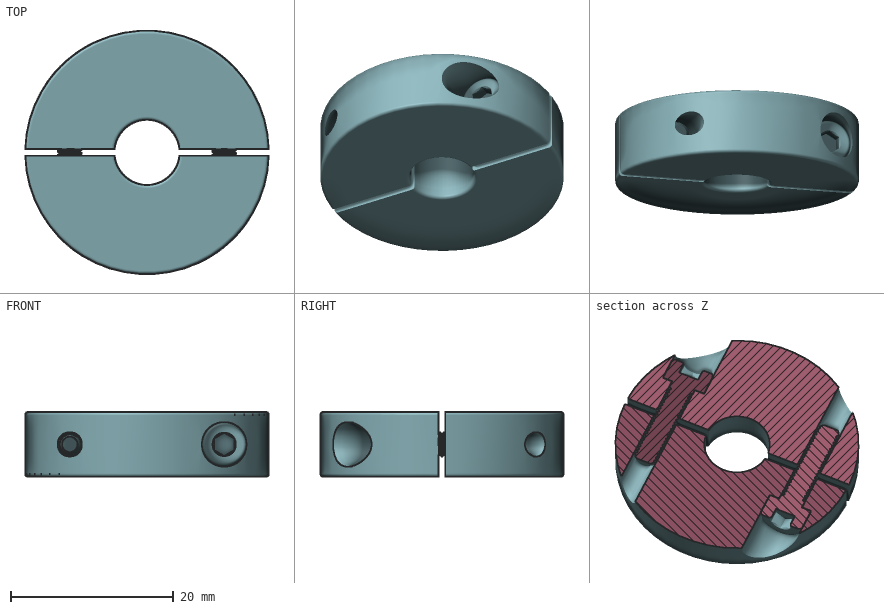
import cadquery as cq
import math


outer_diameter = 30.0
bore_diameter = 8.0
width = 8.0
split_gap = 0.8
rim_radius = 0.4

screw_offset = 9.5
thread_diameter = 3.0
thread_pitch = 0.5
screw_length = 12.0
tip_diameter = 1.9
tip_trim = 0.75
head_diameter = 5.5
head_height = 3.0
head_edge_radius = 0.4
socket_flats = 2.5
socket_depth = 1.5
seat_distance = 5.0

thread_slope = math.tan(math.radians(30))
full_thread_height = thread_pitch / 2 / thread_slope
groove_depth = full_thread_height * 5 / 8
root_width = thread_pitch / 4
thread_runout = 1.25 * thread_pitch
groove_overshoot = 0.04

half_turns = (0, 180)


def turned(body, angle):
    """Turn a body about the bore axis."""
    return body.rotate((0, 0, 0), (0, 0, 1), angle)


def cylinder_along_y(diameter, x, y_start, y_end):
    """Cylinder from y_start to y_end, with y_end the larger."""
    return (
        cq.Workplane("XZ", origin=(x, y_end, 0))
        .circle(diameter / 2)
        .extrude(y_end - y_start)
    )


def make_half_collar():
    """Half ring on the -Y side: counterbored hole at +X, plain screw hole at -X."""
    outer_radius = outer_diameter / 2
    ring = (
        cq.Workplane("XY")
        .circle(outer_radius)
        .circle(bore_diameter / 2)
        .extrude(width / 2, both=True)
        .faces("|Z")
        .edges()
        .fillet(rim_radius)
    )
    half_space = cq.Workplane("XY").box(
        outer_diameter, outer_radius, width, centered=(True, False, True)
    ).translate((0, -outer_radius - split_gap / 2, 0))
    half = ring.intersect(half_space)

    for x in (-screw_offset, screw_offset):
        half = half.cut(cylinder_along_y(thread_diameter, x, -outer_radius, 0))
    return half.cut(cylinder_along_y(head_diameter, screw_offset, -outer_radius, -seat_distance))


def make_thread_groove(start, end):
    """Right-hand helical groove from one height to another along the Z axis."""
    crest_radius = thread_diameter / 2
    root_radius = crest_radius - groove_depth
    mouth_radius = crest_radius + groove_overshoot
    root_half = root_width / 2
    mouth_half = root_half + (mouth_radius - root_radius) * thread_slope

    path = cq.Wire.makeHelix(thread_pitch, end - start, crest_radius, center=cq.Vector(0, 0, start))
    profile = (
        cq.Workplane("XZ")
        .moveTo(root_radius, start - root_half)
        .lineTo(mouth_radius, start - mouth_half)
        .lineTo(mouth_radius, start + mouth_half)
        .lineTo(root_radius, start + root_half)
        .close()
    )
    return profile.sweep(cq.Workplane(path), isFrenet=True)


def make_shank():
    """Threaded shank from z = 0, cut from an over-long rod and trimmed to a chamfered tip."""
    rod_length = screw_length + 4 * thread_pitch
    groove = make_thread_groove(thread_runout, rod_length - thread_runout)
    rod = cq.Workplane("XY").circle(thread_diameter / 2).extrude(rod_length).cut(groove)

    envelope = (
        cq.Workplane("XY")
        .circle(tip_diameter / 2 + tip_trim)
        .extrude(screw_length)
        .faces(">Z")
        .chamfer(tip_trim)
    )
    return rod.intersect(envelope)


def make_screw():
    """Cap screw standing on Z: underside of the head at z = 0, tip at z = screw_length."""
    head = (
        cq.Workplane("XY")
        .circle(head_diameter / 2)
        .extrude(-head_height)
        .faces("<Z")
        .edges()
        .fillet(head_edge_radius)
    )
    return make_shank().union(head).cut(make_socket())


def make_socket():
    """Hexagonal key socket with a conical lead-in across its corners."""
    corner_diameter = socket_flats / math.cos(math.pi / 6)
    lead_in_depth = (corner_diameter - socket_flats) / 2
    head_top = cq.Workplane("XY", origin=(0, 0, -head_height))
    hexagon = (
        head_top
        .transformed(rotate=(0, 0, 90))
        .polygon(6, corner_diameter)
        .extrude(socket_depth)
    )
    lead_in = (
        head_top
        .circle(corner_diameter / 2)
        .workplane(offset=lead_in_depth)
        .circle(socket_flats / 2)
        .loft()
    )
    return hexagon.union(lead_in)


half_collar = make_half_collar()
screw = (
    make_screw()
    .rotate((0, 0, 0), (1, 0, 0), -90)
    .translate((screw_offset, -seat_distance, 0))
)

half_collars = [turned(half_collar, angle).solids().val() for angle in half_turns]
screws = [turned(screw, angle).solids().val() for angle in half_turns]

result = cq.Compound.makeCompound([*half_collars, *screws])